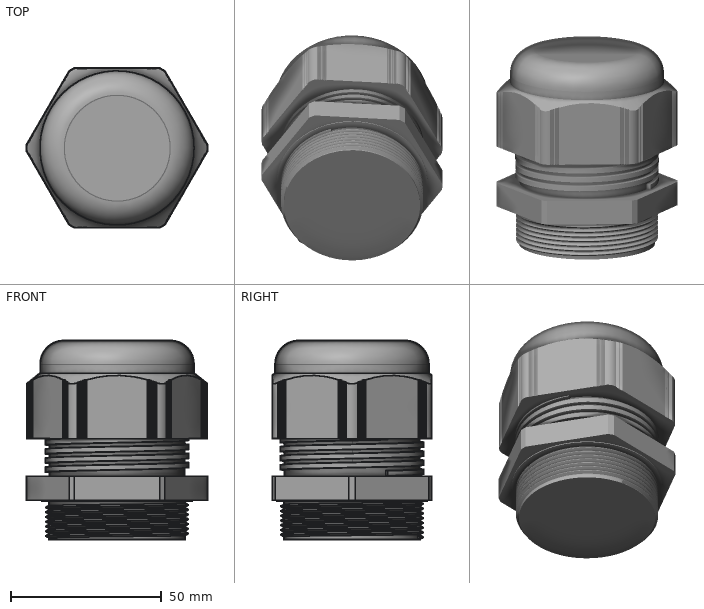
import cadquery as cq
import math

total_height = 66.01
flange_top = 13.0
flange_thickness = 0.25
body_hex_height = 8.0
body_hex_top = flange_top + body_hex_height
cap_bottom = 33.4
cap_cone_top = 55.15
dome_radius = 8.0

across_flats = 53.0
across_corners = across_flats / math.cos(math.radians(30))
body_hex_width = 60.0
cap_corner_radius = 4.0
corner_count = 6
corner_angle = 360 / corner_count

connection_diameter = 45.18
neck_diameter = 44.85
dome_diameter = 51.1
flange_diameter = 50.0

cone_drop_per_radius = 0.8

groove_depth = 0.23
groove_pitch = 0.47
grooves_per_group = 3
group_first_offsets = (10.3, 11.97)

thread_overlap = 0.1
connection_pitch = 1.58
connection_crest_radius = 23.6
connection_crest_width = 0.1
connection_root_width = 1.25
connection_start_height = 0.71
connection_start_angle = 75.0
connection_turns = 7.15
neck_pitch = 3.0
neck_crest_radius = 23.8
neck_crest_width = 1.6
neck_root_width = 1.85
neck_start_height = 21.95
neck_start_angle = 30.0
neck_turns = 4.0


def cylinder(diameter, bottom, top):
    return cq.Workplane("XY").workplane(offset=bottom).circle(diameter / 2).extrude(top - bottom)


def hexagon(bottom, top):
    base = cq.Workplane("XY").workplane(offset=bottom)
    return base.polygon(corner_count, across_corners).extrude(top - bottom)


def thread_ridge(pitch, turns, root_radius, crest_radius, root_width, crest_width, height, angle):
    """Right-handed ridge; its flanks are extended inwards to overlap the core."""
    inner_radius = root_radius - thread_overlap
    flank_slope = (root_width - crest_width) / (crest_radius - root_radius)
    half_inner = (root_width + flank_slope * thread_overlap) / 2
    half_crest = crest_width / 2
    profile = cq.Workplane("XZ").polyline([
        (inner_radius, -half_inner),
        (crest_radius, -half_crest),
        (crest_radius, half_crest),
        (inner_radius, half_inner),
    ]).close()
    path = cq.Workplane(cq.Wire.makeHelix(pitch, pitch * turns, root_radius))
    ridge = profile.sweep(path, isFrenet=True)
    return ridge.rotate((0, 0, 0), (0, 0, 1), angle).translate((0, 0, height))


def body_hexagon():
    hex_body = hexagon(flange_top, body_hex_top)
    slab = cq.Workplane("XY").box(body_hex_width, 2 * across_corners, 2 * total_height)
    for i in range(corner_count // 2):
        hex_body = hex_body.intersect(slab.rotate((0, 0, 0), (0, 0, 1), i * corner_angle))
    return hex_body


def cut_grip_grooves(cap):
    half_flats = across_flats / 2
    half_size = 2 * groove_depth
    tip = half_flats - groove_depth
    grooves = cq.Workplane("XY").workplane(offset=cap_bottom)
    for first in group_first_offsets:
        for i in range(grooves_per_group):
            for side in (-1, 1):
                x = side * (first + i * groove_pitch)
                grooves = grooves.moveTo(x, tip)
                grooves = grooves.lineTo(x + half_size, tip + half_size)
                grooves = grooves.lineTo(x - half_size, tip + half_size).close()
    cutter = grooves.extrude(cap_cone_top - cap_bottom, combine=False)
    for i in range(corner_count):
        cap = cap.cut(cutter.rotate((0, 0, 0), (0, 0, 1), i * corner_angle))
    return cap


def cap_hexagon():
    cap = hexagon(cap_bottom, cap_cone_top).edges("|Z").fillet(cap_corner_radius)
    dome_r = dome_diameter / 2
    outer_r = across_corners / 2
    cone_end = cap_cone_top - cone_drop_per_radius * (outer_r - dome_r)
    envelope = (
        cq.Workplane("XZ")
        .polyline([
            (0, cap_bottom),
            (outer_r, cap_bottom),
            (outer_r, cone_end),
            (dome_r, cap_cone_top),
            (0, cap_cone_top),
        ])
        .close()
        .revolve(360, (0, 0, 0), (0, 1, 0))
    )
    return cut_grip_grooves(cap.intersect(envelope))


def dome():
    return cylinder(dome_diameter, cap_bottom, total_height).faces(">Z").edges().fillet(dome_radius)


connection_thread = thread_ridge(
    connection_pitch, connection_turns, connection_diameter / 2, connection_crest_radius,
    connection_root_width, connection_crest_width, connection_start_height, connection_start_angle,
)
neck_thread = thread_ridge(
    neck_pitch, neck_turns, neck_diameter / 2, neck_crest_radius,
    neck_root_width, neck_crest_width, neck_start_height, neck_start_angle,
)

connection = cylinder(connection_diameter, 0, flange_top).union(connection_thread)
flange = cylinder(flange_diameter, flange_top - flange_thickness, flange_top)
neck = cylinder(neck_diameter, body_hex_top, cap_bottom).union(neck_thread)

result = connection.union(flange).union(body_hexagon()).union(neck)
result = result.union(cap_hexagon()).union(dome())